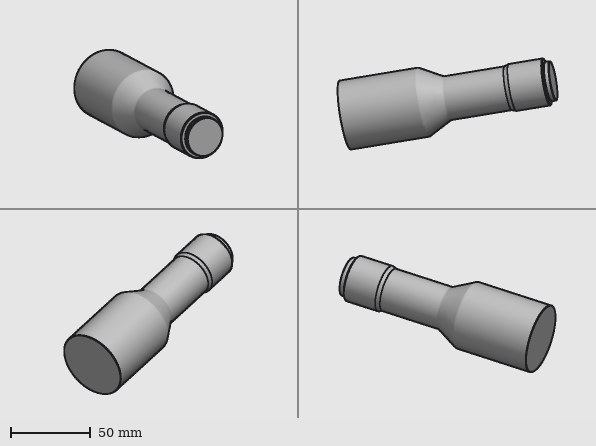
import cadquery as cq

total_length = 133.8

body_diameter = 44.0
body_length = 50.6
body_edge_chamfer = 0.3

neck_diameter = 28.0
cone_length = 15.0
cone_blend_radius = 2.0
neck_end = 104.9

head_diameter = 30.0
flare_length = 2.8
head_end = 129.8
head_edge_chamfer = 0.5

rim_diameter = 25.2
groove_diameter = 24.0
groove_width = 0.8
rim_edge_chamfer = 0.4

body_radius = body_diameter / 2
neck_radius = neck_diameter / 2
head_radius = head_diameter / 2
rim_radius = rim_diameter / 2
groove_radius = groove_diameter / 2
cone_end = body_length + cone_length
head_start = neck_end + flare_length
rim_start = head_end + groove_width


def turned_solid():
    """Revolve the half outline, chamfers included, about the X axis."""
    outline = (
        cq.Workplane("XZ")
        .moveTo(0, 0)
        .lineTo(0, body_radius - body_edge_chamfer)
        .lineTo(body_edge_chamfer, body_radius)
        .lineTo(body_length, body_radius)
        .lineTo(cone_end, neck_radius)
        .lineTo(neck_end, neck_radius)
        .lineTo(head_start, head_radius)
        .lineTo(head_end - head_edge_chamfer, head_radius)
        .lineTo(head_end, head_radius - head_edge_chamfer)
        .lineTo(head_end, groove_radius)
        .lineTo(rim_start, groove_radius)
        .lineTo(rim_start, rim_radius)
        .lineTo(total_length - rim_edge_chamfer, rim_radius)
        .lineTo(total_length, rim_radius - rim_edge_chamfer)
        .lineTo(total_length, 0)
        .close()
    )
    return outline.revolve(360, (0, 0, 0), (1, 0, 0))


def circle_at(x):
    """Select the circular edge lying in the plane at position x."""
    margin = 0.01
    lower = (x - margin, -body_diameter, -body_diameter)
    upper = (x + margin, body_diameter, body_diameter)
    return cq.selectors.BoxSelector(lower, upper, boundingbox=True)


def blend_cone(part):
    """Round both ends of the cone into the cylinders next to it."""
    for x in (body_length, cone_end):
        part = part.edges(circle_at(x)).fillet(cone_blend_radius)
    return part


result = blend_cone(turned_solid())